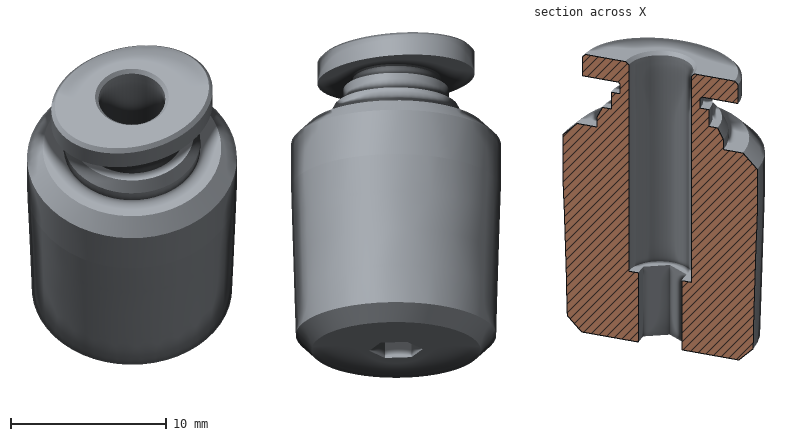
import cadquery as cq
import math

body_radius = 6.75
base_radius = 6.45
body_chamfer = 1.0
taper_top = 11.0
shoulder_top = 15.01

collar_radius = 4.4
collar_top_radius = 4.0
collar_edge = 15.7
collar_top = 16.5

sleeve_radius = 3.4
sleeve_top = 17.7
neck_radius = 2.8
neck_flare = 0.1

overall_height = 20.1
flange_thickness = 1.6
flange_half_x = 4.3
flange_half_y = 5.4
flange_chamfer = 0.25
flange_bottom = overall_height - flange_thickness

bore_radius = 2.15
bore_chamfer = 0.22
bore_floor = 5.02
hex_sides = 6
hex_across_flats = 3.0
hex_across_corners = hex_across_flats / math.cos(math.pi / hex_sides)


def turned(profile):
    """Revolve a closed (radius, height) outline about the Z axis."""
    return cq.Workplane("XZ").polyline(profile).close().revolve(360, (0, 0), (0, 1))


def stepped_body():
    return turned([
        (0, 0),
        (base_radius - body_chamfer, 0),
        (base_radius, body_chamfer),
        (body_radius, taper_top),
        (body_radius, shoulder_top - body_chamfer),
        (body_radius - body_chamfer, shoulder_top),
        (collar_radius, shoulder_top),
        (collar_radius, collar_edge),
        (collar_top_radius, collar_top),
        (sleeve_radius, collar_top),
        (sleeve_radius, sleeve_top),
        (neck_radius, sleeve_top),
        (neck_radius, flange_bottom - neck_flare),
        (neck_radius + neck_flare, flange_bottom),
        (0, flange_bottom),
    ])


def push_flange():
    plate = (
        cq.Workplane("XY", origin=(0, 0, flange_bottom))
        .ellipse(flange_half_x, flange_half_y)
        .extrude(flange_thickness)
    )
    return plate.faces(">Z").chamfer(flange_chamfer)


def tube_bore():
    return turned([
        (0, bore_floor),
        (bore_radius, bore_floor),
        (bore_radius, overall_height - bore_chamfer),
        (bore_radius + bore_chamfer, overall_height),
        (0, overall_height),
    ])


def hex_passage():
    """Hexagonal prism with two corners on the X axis."""
    return cq.Workplane("XY").polygon(hex_sides, hex_across_corners).extrude(overall_height)


result = stepped_body().union(push_flange()).cut(tube_bore()).cut(hex_passage())